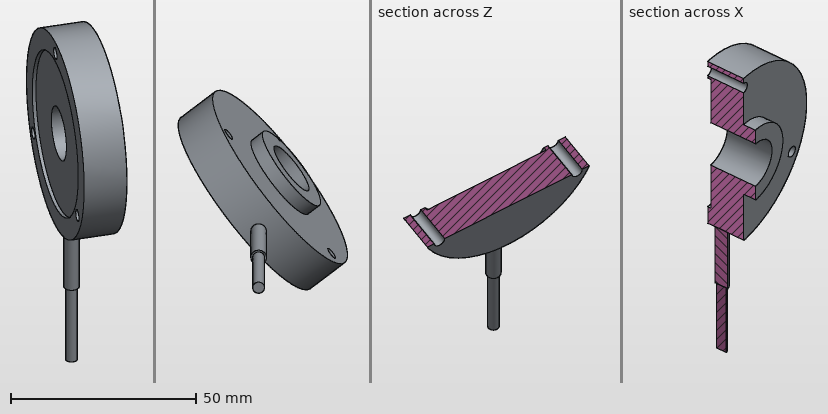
import cadquery as cq

HOUSING_DIAMETER = 58.0
HOUSING_THICKNESS = 12.0
BOSS_DIAMETER = 25.0
BOSS_HEIGHT = 3.9
BORE_DIAMETER = 15.0
RECESS_DIAMETER = 46.0
RECESS_DEPTH = 1.0

HOLE_COUNT = 3
HOLE_DIAMETER = 3.2
HOLE_CIRCLE_DIAMETER = 51.0

OUTLET_Y = 4.5
SLEEVE_DIAMETER = 4.2
SLEEVE_LENGTH = 20.0
CABLE_DIAMETER = 3.2
OVERALL_HEIGHT = 101.0

RIM_BOTTOM_Z = -HOUSING_DIAMETER / 2
SLEEVE_END_Z = RIM_BOTTOM_Z - SLEEVE_LENGTH
CABLE_END_Z = HOUSING_DIAMETER / 2 - OVERALL_HEIGHT


def disc(diameter, start_y, end_y):
    """Solid cylinder around the housing axis, from start_y to end_y."""
    return (
        cq.Workplane("XZ", origin=(0, start_y, 0))
        .circle(diameter / 2)
        .extrude(start_y - end_y)
    )


def outlet_rod(diameter, bottom_z, top_z):
    """Vertical cylinder on the cable outlet axis."""
    return (
        cq.Workplane("XY", origin=(0, OUTLET_Y, bottom_z))
        .circle(diameter / 2)
        .extrude(top_z - bottom_z)
    )


def make_housing():
    """Ring with a rear boss, a shallow front recess, a bore and mounting holes."""
    rear_y = HOUSING_THICKNESS + BOSS_HEIGHT
    body = disc(HOUSING_DIAMETER, 0, HOUSING_THICKNESS)
    body = body.union(disc(BOSS_DIAMETER, 0, rear_y))
    body = body.cut(disc(RECESS_DIAMETER, 0, RECESS_DEPTH))
    body = body.cut(disc(BORE_DIAMETER, 0, rear_y))
    mounting_holes = (
        cq.Workplane("XZ")
        .polarArray(HOLE_CIRCLE_DIAMETER / 2, 90, 360, HOLE_COUNT)
        .circle(HOLE_DIAMETER / 2)
        .extrude(-HOUSING_THICKNESS)
    )
    return body.cut(mounting_holes).solids()


def make_sleeve():
    """Strain relief sleeve whose upper end is shaped to the round rim."""
    top_z = RIM_BOTTOM_Z + SLEEVE_DIAMETER / 2
    blank = outlet_rod(SLEEVE_DIAMETER, SLEEVE_END_Z, top_z)
    return blank.cut(disc(HOUSING_DIAMETER, 0, HOUSING_THICKNESS)).solids()


def make_cable():
    """Cable that continues below the sleeve."""
    return outlet_rod(CABLE_DIAMETER, CABLE_END_Z, SLEEVE_END_Z)


housing = make_housing()
sleeve = make_sleeve()
cable = make_cable()

result = cq.Compound.makeCompound([housing.val(), sleeve.val(), cable.val()])